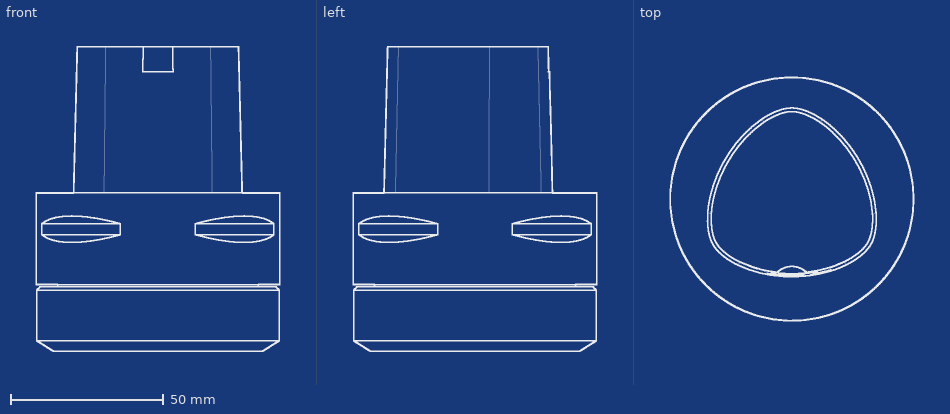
import cadquery as cq
import math

total_height = 100.0
flange_radius = 80.0 / 2
collar_radius = 79.7 / 2
groove_radius = 66.0 / 2
flange_top = 52.0
flange_bottom = 21.9
collar_top = 21.3
collar_chamfer_width = 1.2
collar_chamfer_height = 1.2
bottom_chamfer_height = 3.5
bottom_radius = 34.3

shank_base_mean_radius = 27.7
lobe_height = 2.2
taper_per_side = 1 / 40
lobe_count = 3
flat_half_angle = 26.0
curve_steps = 16

key_radius = 6.9
key_axis_y = -29.0
key_depth = 8.2

slot_count = 4
slot_flat_distance = 35.6
slot_flat_height = 3.6
slot_center_z = 40.1
slot_wall_angle = 30.0


def make_body():
    profile = [
        (0, 0),
        (bottom_radius, 0),
        (collar_radius, bottom_chamfer_height),
        (collar_radius, collar_top - collar_chamfer_height),
        (collar_radius - collar_chamfer_width, collar_top),
        (groove_radius, collar_top),
        (groove_radius, flange_bottom),
        (flange_radius, flange_bottom),
        (flange_radius, flange_top),
        (0, flange_top),
    ]
    return cq.Workplane("XZ").polyline(profile).close().revolve(360, (0, 0), (0, 1))


def lobed_point(mean_radius, degrees, z):
    """Point of the constant-width outline whose outward normal has the given direction."""
    angle = math.radians(degrees)
    phase = lobe_count * (angle - math.pi / 2)
    support = mean_radius + lobe_height * math.cos(phase)
    slope = -lobe_count * lobe_height * math.sin(phase)
    x = support * math.cos(angle) - slope * math.sin(angle)
    y = support * math.sin(angle) + slope * math.cos(angle)
    return cq.Vector(x, y, z)


def lobed_edge(mean_radius, start, end, z):
    step = (end - start) / curve_steps
    points = [lobed_point(mean_radius, start + i * step, z) for i in range(curve_steps + 1)]
    return cq.Edge.makeSpline(points)


def lobed_wire(mean_radius, z):
    """Closed outline: a flat side and a lobe in turn."""
    pitch = 360 / lobe_count
    edges = []
    for i in range(lobe_count):
        flat_center = -90 + i * pitch
        flat_start = flat_center - flat_half_angle
        flat_end = flat_center + flat_half_angle
        edges.append(lobed_edge(mean_radius, flat_start, flat_end, z))
        edges.append(lobed_edge(mean_radius, flat_end, flat_start + pitch, z))
    return cq.Wire.assembleEdges(edges)


def make_shank():
    top_mean_radius = shank_base_mean_radius - taper_per_side * (total_height - flange_top)
    base = lobed_wire(shank_base_mean_radius, flange_top)
    top = lobed_wire(top_mean_radius, total_height)
    return cq.Workplane(cq.Solid.makeLoft([base, top], True))


def make_keyway():
    floor = cq.Workplane("XY", origin=(0, key_axis_y, total_height - key_depth))
    return floor.circle(key_radius).extrude(key_depth)


def make_slot(direction):
    """Cutter with a flat floor and walls that open outwards."""
    cut_depth = flange_radius - slot_flat_distance
    inner = slot_flat_height / 2
    outer = inner + cut_depth * math.tan(math.radians(slot_wall_angle))
    section = [
        (slot_flat_distance, -inner),
        (flange_radius, -outer),
        (flange_radius, outer),
        (slot_flat_distance, inner),
    ]
    cutter = cq.Workplane("XZ", origin=(0, 0, slot_center_z)).polyline(section).close()
    return cutter.extrude(flange_radius, both=True).rotate((0, 0, 0), (0, 0, 1), direction)


result = make_body().union(make_shank()).cut(make_keyway())
for i in range(slot_count):
    result = result.cut(make_slot((i + 0.5) * 360 / slot_count))